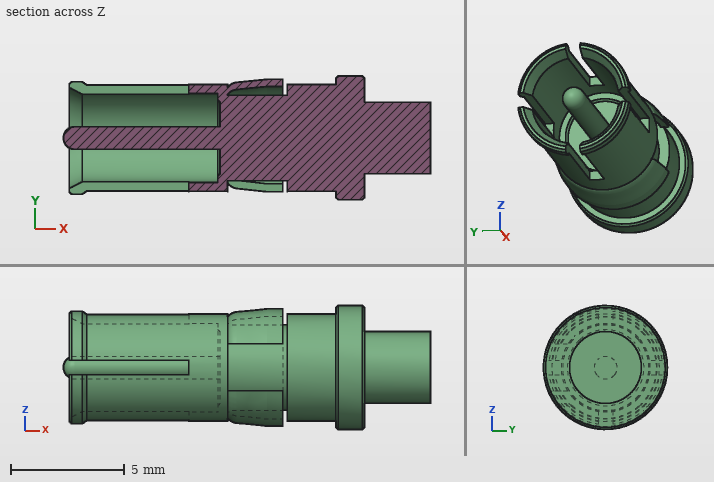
import cadquery as cq

length = 16.25
lip_start = 0.26
lip_crest_end = 0.83
lip_end = 1.04
slot_end = 5.54
collar_start = 7.26
collar_cone_start = 7.69
collar_cone_end = 9.0
collar_end = 9.72
body_start = 9.9
flange_start = 12.05
flange_end = 13.32

lip_radius = 2.52
barrel_radius = 2.37
collar_nose_radius = 2.47
collar_radius = 2.6
groove_radius = 1.9
flange_radius = 2.75
tail_radius = 1.6
pin_radius = 0.5
bore_radius = 1.97
mouth_radius = 2.26

lip_chamfer = 0.11
flange_chamfer = 0.1
mouth_depth = 0.57
recess_radius = 1.69
recess_depth = 0.1
bore_end = 6.82
slot_width = 0.65
notch_width = 2.08
collar_wall = 0.32
nose_drop = 0.23
nose_arc_fraction = 0.4


def disc(start, end, radius):
    """Solid cylinder along X between two stations."""
    return cq.Workplane("YZ", origin=(start, 0, 0)).circle(radius).extrude(end - start)


def revolve_about_x(profile):
    """Close an (x, radius) profile and turn it about the X axis."""
    return profile.close().revolve(360, (0, 0, 0), (1, 0, 0))


def make_shell():
    """Outer turned shape: lip, fingers, barrel, groove, body, flange and tail."""
    profile = (
        cq.Workplane("XY")
        .moveTo(lip_start, 0)
        .lineTo(lip_start, lip_radius - lip_chamfer)
        .lineTo(lip_start + lip_chamfer, lip_radius)
        .lineTo(lip_crest_end, lip_radius)
        .lineTo(lip_end, barrel_radius)
        .lineTo(collar_start, barrel_radius)
        .lineTo(collar_start, groove_radius)
        .lineTo(body_start, groove_radius)
        .lineTo(body_start, barrel_radius)
        .lineTo(flange_start, barrel_radius)
        .lineTo(flange_start, flange_radius - flange_chamfer)
        .lineTo(flange_start + flange_chamfer, flange_radius)
        .lineTo(flange_end - flange_chamfer, flange_radius)
        .lineTo(flange_end, flange_radius - flange_chamfer)
        .lineTo(flange_end, tail_radius)
        .lineTo(length, tail_radius)
        .lineTo(length, 0)
    )
    return revolve_about_x(profile)


def make_collar_form(inset):
    """Collar outline of revolution, with its side shrunk inward by the inset."""
    nose_length = collar_cone_start - collar_start
    arc_x = collar_start + nose_length * nose_arc_fraction
    arc_radius = collar_nose_radius - nose_drop * (1 - nose_arc_fraction) ** 2
    profile = (
        cq.Workplane("XY")
        .moveTo(collar_start, 0)
        .lineTo(collar_start, collar_nose_radius - nose_drop - inset)
        .threePointArc((arc_x, arc_radius - inset), (collar_cone_start, collar_nose_radius - inset))
        .lineTo(collar_cone_end, collar_radius - inset)
        .lineTo(collar_end, collar_radius - inset)
        .lineTo(collar_end, 0)
    )
    return revolve_about_x(profile)


def make_collar():
    """Thin spring collar, fixed at its nose, with a notch on the -Y side."""
    notch = cq.Workplane("XY").box(
        collar_end - collar_start, collar_radius, notch_width, centered=(False, False, True)
    ).translate((collar_start, -collar_radius, 0))
    return make_collar_form(0).cut(make_collar_form(collar_wall)).cut(notch)


def make_bore():
    """Bore with a flared mouth and a shallow tapered recess in its floor."""
    profile = (
        cq.Workplane("XY")
        .moveTo(lip_start, 0)
        .lineTo(lip_start, mouth_radius)
        .lineTo(lip_start + mouth_depth, bore_radius)
        .lineTo(bore_end, bore_radius)
        .lineTo(bore_end, recess_radius)
        .lineTo(bore_end + recess_depth, tail_radius)
        .lineTo(bore_end + recess_depth, 0)
    )
    return revolve_about_x(profile)


def make_slots():
    """Two crossed slots that split the front of the barrel into four fingers."""
    slot = cq.Workplane("XY").box(
        slot_end, 2 * flange_radius, slot_width, centered=(False, True, True)
    )
    return slot.union(slot.rotate((0, 0, 0), (1, 0, 0), 90))


def make_pin():
    """Centre contact with a hemispherical tip, anchored past the bore floor."""
    tip = cq.Workplane("XY").sphere(pin_radius).translate((pin_radius, 0, 0))
    return disc(pin_radius, body_start, pin_radius).union(tip)


shell = make_shell().cut(make_slots()).union(make_collar())
result = shell.cut(make_bore()).union(make_pin())